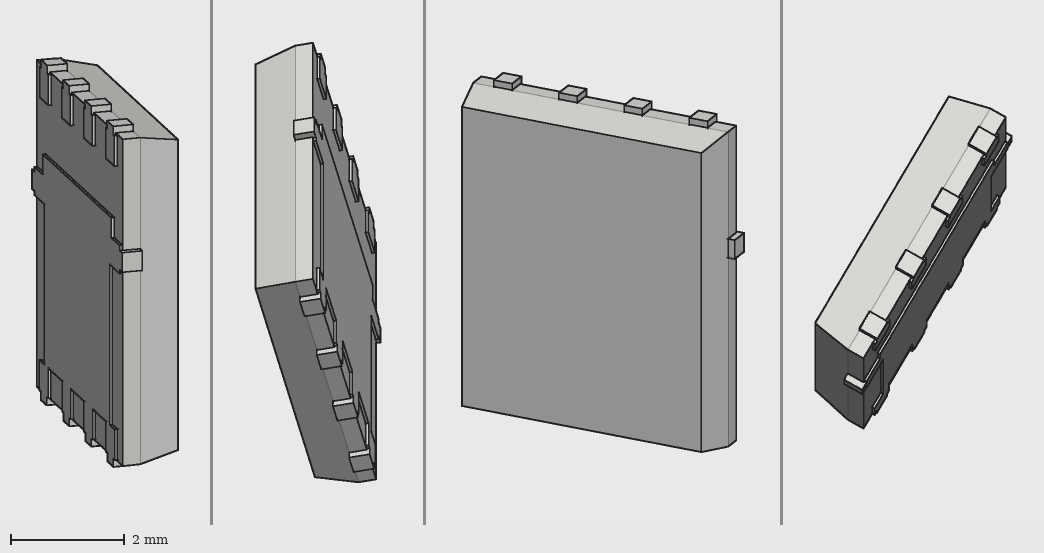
import cadquery as cq


body_width = 5.0
body_length = 6.0
total_depth = 1.12
contact_proud = 0.05
back_inset = 0.15
half_width = body_width / 2
half_length = body_length / 2

metal_depth = 0.37
edge_gap = 0.025
tab_width = 0.36
foot_width = 0.51
foot_length = 0.585
end_tab_reach = 0.125
side_tab_reach = 0.13

lead_pitch = 1.277
lead_count = 4

pad_half_width = 1.895
pad_head_half_width = 2.0
pad_top = 1.42
arm_top = 1.05
arm_bottom = 0.53
side_tab_center = 0.78
drain_foot_centers = (-1.94, -0.617, 0.66, 1.94)


def metal_plate(x_start, x_end, z_start, z_end):
    """Rectangular plate of metal between the given limits, with its front on the solder face."""
    width = abs(x_end - x_start)
    length = abs(z_end - z_start)
    center = ((x_start + x_end) / 2, metal_depth / 2, (z_start + z_end) / 2)
    return cq.Workplane("XY").box(width, metal_depth, length).translate(center)


def make_foot(x_center, edge_direction):
    """Foot at the top (+1) or bottom (-1) edge, with a narrow tab past that edge."""
    inner_end = edge_direction * (half_length - foot_length)
    wide_end = edge_direction * (half_length - edge_gap)
    tab_end = edge_direction * (half_length + end_tab_reach)
    wide = metal_plate(x_center - foot_width / 2, x_center + foot_width / 2, inner_end, wide_end)
    tab = metal_plate(x_center - tab_width / 2, x_center + tab_width / 2, inner_end, tab_end)
    return wide.union(tab)


def make_lead(index):
    """One of the separate leads, counted from the left."""
    x_center = (index - (lead_count - 1) / 2) * lead_pitch
    return make_foot(x_center, 1)


def make_drain_pad():
    """Large pad with a wider head, two side arms ending in tabs, and a row of feet."""
    pad_bottom = foot_length - half_length
    arm_end = half_width - edge_gap
    tab_end = half_width + side_tab_reach
    tab_bottom = side_tab_center - tab_width / 2
    tab_top = side_tab_center + tab_width / 2

    pad = metal_plate(-pad_half_width, pad_half_width, pad_bottom, pad_top)
    head = metal_plate(-pad_head_half_width, pad_head_half_width, arm_bottom, pad_top)
    arms = metal_plate(-arm_end, arm_end, arm_bottom, arm_top)
    side_tabs = metal_plate(-tab_end, tab_end, tab_bottom, tab_top)
    pad = pad.union(head).union(arms).union(side_tabs)
    for x_center in drain_foot_centers:
        pad = pad.union(make_foot(x_center, -1))
    return pad


def make_housing(metal_parts):
    """Molded block with straight front walls, tapered back walls and a pocket for each metal part."""
    straight = (
        cq.Workplane("XZ", origin=(0, contact_proud, 0))
        .rect(body_width, body_length)
        .extrude(contact_proud - metal_depth)
    )
    tapered = (
        cq.Workplane("XZ", origin=(0, metal_depth, 0))
        .rect(body_width, body_length)
        .workplane(offset=metal_depth - total_depth)
        .rect(body_width - 2 * back_inset, body_length - 2 * back_inset)
        .loft(ruled=True)
    )
    housing = straight.union(tapered)
    for part in metal_parts:
        housing = housing.cut(part)
    return housing


leads = [make_lead(index) for index in range(lead_count)]
drain_pad = make_drain_pad()
housing = make_housing([drain_pad, *leads])

bodies = [housing, drain_pad, *leads]
result = cq.Compound.makeCompound([body.solids().val() for body in bodies])